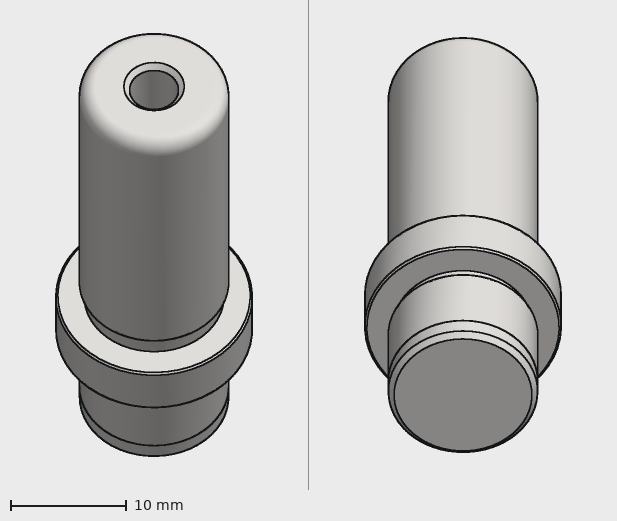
import cadquery as cq
import math

total_height = 45.0
body_radius = 6.5
neck_radius = 6.08
flange_radius = 8.5

flange_bottom = 10.0
flange_top = 15.0
lower_relief_height = 1.15
upper_relief_height = 2.05

top_fillet = 1.5
base_chamfer = 0.5
flange_chamfer = 0.2
relief_taper_height = 0.5

lead_height = 2.02
lead_clearance = 0.02

hole_radius = 2.1
hole_mouth_radius = 2.6
hole_depth = 10.0
drill_point_angle = 120.0


def make_pin():
    """Revolve the stepped outer profile, from the base upward."""
    lead_radius = body_radius - lead_clearance
    lower_body_top = flange_bottom - lower_relief_height
    upper_body_bottom = flange_top + upper_relief_height
    fillet_center_radius = body_radius - top_fillet
    fillet_center_height = total_height - top_fillet
    fillet_reach = top_fillet * math.sqrt(0.5)
    flange_face_radius = flange_radius - flange_chamfer

    profile = (
        cq.Workplane("XZ")
        .lineTo(lead_radius - base_chamfer, 0)
        .lineTo(lead_radius, base_chamfer)
        .lineTo(lead_radius, lead_height)
        .lineTo(body_radius, lead_height)
        .lineTo(body_radius, lower_body_top)
        .lineTo(neck_radius, lower_body_top + relief_taper_height)
        .lineTo(neck_radius, flange_bottom)
        .lineTo(flange_face_radius, flange_bottom)
        .lineTo(flange_radius, flange_bottom + flange_chamfer)
        .lineTo(flange_radius, flange_top - flange_chamfer)
        .lineTo(flange_face_radius, flange_top)
        .lineTo(neck_radius, flange_top)
        .lineTo(neck_radius, upper_body_bottom - relief_taper_height)
        .lineTo(body_radius, upper_body_bottom)
        .lineTo(body_radius, fillet_center_height)
        .threePointArc(
            (fillet_center_radius + fillet_reach, fillet_center_height + fillet_reach),
            (fillet_center_radius, total_height),
        )
        .lineTo(0, total_height)
        .close()
    )
    return profile.revolve(360, (0, 0), (0, 1))


def make_hole():
    """Countersunk blind hole ending in a drill point."""
    countersink_depth = hole_mouth_radius - hole_radius
    hole_floor = total_height - hole_depth
    drill_point_depth = hole_radius / math.tan(math.radians(drill_point_angle / 2))

    profile = (
        cq.Workplane("XZ")
        .moveTo(0, total_height)
        .lineTo(hole_mouth_radius, total_height)
        .lineTo(hole_radius, total_height - countersink_depth)
        .lineTo(hole_radius, hole_floor)
        .lineTo(0, hole_floor - drill_point_depth)
        .close()
    )
    return profile.revolve(360, (0, 0), (0, 1))


result = make_pin().cut(make_hole())